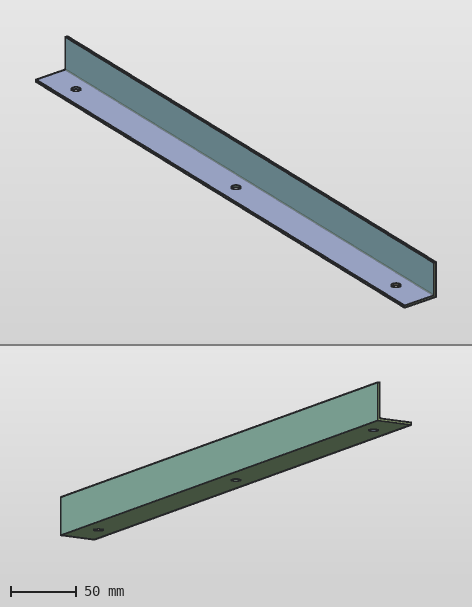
import cadquery as cq

length = 466.0
leg = 30.0
thickness = 2.0
inner_radius = 0.5

hole_diameter = 7.0
hole_spacing = 202.2
hole_count = 3


def angle_bar():
    """Horizontal leg on the bottom, vertical leg along the +Y edge, centred on X and Y."""
    horizontal_leg = cq.Workplane("XY").box(length, leg, thickness, centered=(True, True, False))
    vertical_leg = (
        cq.Workplane("XY")
        .box(length, thickness, leg, centered=(True, False, False))
        .translate((0, leg / 2 - thickness, 0))
    )
    inner_corner = cq.NearestToPointSelector((0, leg / 2 - thickness, thickness))
    return horizontal_leg.union(vertical_leg).edges(inner_corner).fillet(inner_radius)


def mounting_holes():
    """Through-hole cutters in one row along the centre line of the horizontal leg."""
    return (
        cq.Workplane("XY")
        .rarray(hole_spacing, 4.5, hole_count, 1)
        .circle(hole_diameter / 2)
        .extrude(thickness)
    )


result = angle_bar().cut(mounting_holes())